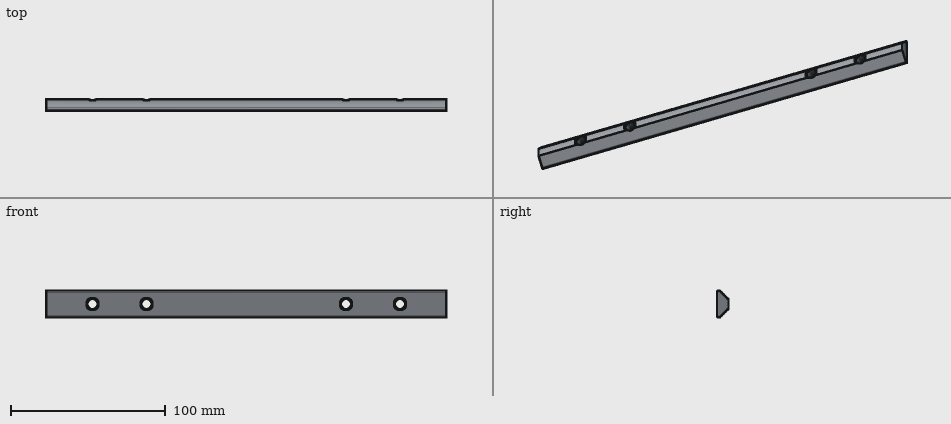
import cadquery as cq
import math

LENGTH = 259.0
THICKNESS = 7.5
HEIGHT = 17.5

NOSE_RADIUS = 1.2
FLANK_ANGLE = 45.0

HOLE_DIAMETER = 6.65
COUNTERSINK_DIAMETER = 8.0
END_TO_FIRST_HOLE = 30.0
PAIR_SPACING = 35.0


def bar():
    """Extrude the symmetric dovetail section along X, wide face at the front."""
    front = -THICKNESS / 2
    back = THICKNESS / 2
    slope = math.radians(FLANK_ANGLE)

    nose_y = front + NOSE_RADIUS
    nose_z = HEIGHT / 2 - NOSE_RADIUS
    flank_y = nose_y + NOSE_RADIUS * math.sin(slope)
    flank_z = nose_z + NOSE_RADIUS * math.cos(slope)
    back_z = flank_z - (back - flank_y) * math.tan(slope)

    return (
        cq.Workplane("YZ", origin=(-LENGTH / 2, 0, 0))
        .moveTo(front, -nose_z)
        .lineTo(front, nose_z)
        .threePointArc((nose_y, HEIGHT / 2), (flank_y, flank_z))
        .lineTo(back, back_z)
        .lineTo(back, -back_z)
        .lineTo(flank_y, -flank_z)
        .threePointArc((nose_y, -HEIGHT / 2), (front, -nose_z))
        .close()
        .extrude(LENGTH)
    )


def hole_cutter(x):
    """Through hole along Y, with a 45 degree countersink at both faces."""
    radius = HOLE_DIAMETER / 2
    rim_radius = COUNTERSINK_DIAMETER / 2
    sink_depth = rim_radius - radius
    half_length = THICKNESS / 2
    half_section = [
        (0, -half_length),
        (rim_radius, -half_length),
        (radius, -half_length + sink_depth),
        (radius, half_length - sink_depth),
        (rim_radius, half_length),
        (0, half_length),
    ]
    return (
        cq.Workplane("XY")
        .polyline(half_section)
        .close()
        .revolve(360, (0, 0, 0), (0, 1, 0))
        .translate((x, 0, 0))
    )


outer_x = LENGTH / 2 - END_TO_FIRST_HOLE
inner_x = outer_x - PAIR_SPACING

result = bar()
for hole_x in (-outer_x, -inner_x, inner_x, outer_x):
    result = result.cut(hole_cutter(hole_x))